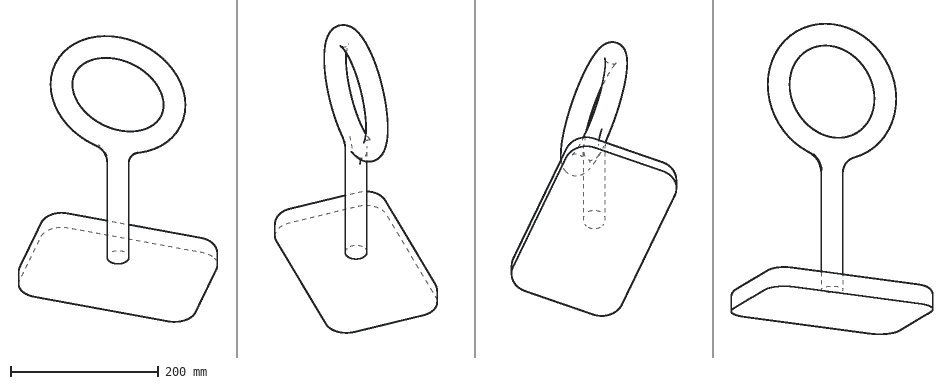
import cadquery as cq

base_length = 250.0
base_width = 160.0
bar_diameter = 30.0
base_thickness = bar_diameter
base_corner_radius = 30.0
base_edge_radius = 10.0

total_height = 405.0
bar_radius = bar_diameter / 2
ring_radius = 80.0
ring_center_height = total_height - ring_radius - bar_radius
joint_fillet = 30.0
post_undersize = 0.1
post_radius = bar_radius - post_undersize


def make_base():
    """Rounded plate standing on Z = 0, with a softened top edge."""
    plate = cq.Workplane("XY").box(base_length, base_width, base_thickness, centered=(True, True, False))
    return plate.edges("|Z").fillet(base_corner_radius).faces(">Z").edges().fillet(base_edge_radius)


def make_ring_on_post():
    """Upright ring blended into the post below it."""
    ring = cq.Workplane("XY").add(
        cq.Solid.makeTorus(
            ring_radius,
            bar_radius,
            cq.Vector(0, 0, ring_center_height),
            cq.Vector(0, 1, 0),
        )
    )
    post_height = ring_center_height - ring_radius
    post = cq.Workplane("XY").circle(post_radius).extrude(post_height)
    joined = ring.union(post)
    return joined.edges("%BSPLINE").fillet(joint_fillet)


result = make_base().union(make_ring_on_post())